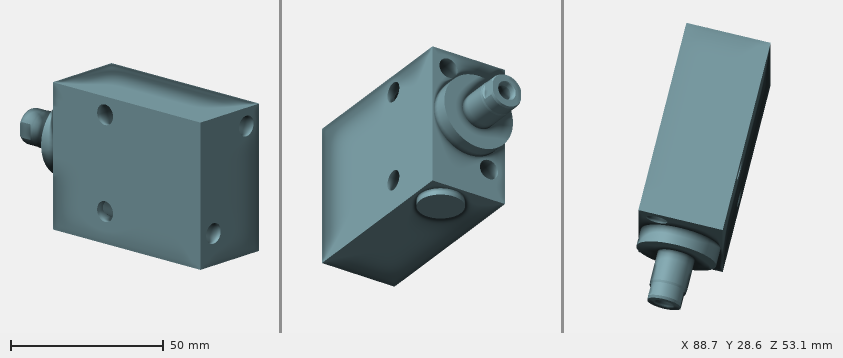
import cadquery as cq

total_length = 88.7
body_front = 22.8
body_width = 28.6
body_height = 50.7
axis_to_top = 23.1
body_bottom = axis_to_top - body_height

flange_front = 16.85
flange_diameter = 27.05

rod_diameter = 12.6
tip_diameter = 12.3
tip_chamfer_length = 0.9
tip_chamfer_depth = 0.35
shoulder_start = 5.4
shoulder_end = 6.2
flats_width = 11.1
flats_length = 4.7

tip_hole_diameter = 5.15
tip_hole_depth = 10.6
tip_hole_mouth_diameter = 6.9
tip_hole_edge_chamfer = 0.3
taper_end = 1.8
drill_point_length = 1.6

mount_hole_diameter = 7.1
mount_hole_spacing = 33.35
upper_hole_z = axis_to_top - 6.3
lower_hole_z = upper_hole_z - mount_hole_spacing
cross_hole_x = 46.1
long_hole_y = 8.0

boss_diameter = 16.0
boss_height = 2.4
boss_x = 32.3
boss_y = 4.8


def revolve_about_x(profile):
    """Turn a closed (x, radius) profile around the X axis."""
    return cq.Workplane("XY").polyline(profile).close().revolve(360, (0, 0, 0), (1, 0, 0))


def make_body():
    return cq.Workplane("XY").box(
        total_length - body_front, body_width, body_height, centered=(False, True, False)
    ).translate((body_front, 0, body_bottom))


def make_flange():
    return (
        cq.Workplane("YZ", origin=(flange_front, 0, 0))
        .circle(flange_diameter / 2)
        .extrude(body_front - flange_front)
    )


def make_rod():
    tip_radius = tip_diameter / 2
    rod = revolve_about_x([
        (0, 0),
        (0, tip_radius - tip_chamfer_depth),
        (tip_chamfer_length, tip_radius),
        (shoulder_start, tip_radius),
        (shoulder_end, rod_diameter / 2),
        (body_front, rod_diameter / 2),
        (body_front, 0),
    ])
    flat_y = flats_width / 2
    ramp = rod_diameter / 2 - flat_y
    flat_cutter = (
        cq.Workplane("XY")
        .polyline([
            (0, flat_y),
            (flats_length, flat_y),
            (flats_length + ramp, flat_y + ramp),
            (0, flat_y + ramp),
        ])
        .close()
        .extrude(rod_diameter / 2, both=True)
    )
    return rod.cut(flat_cutter).cut(flat_cutter.mirror("XZ"))


def make_tip_hole():
    hole_radius = tip_hole_diameter / 2
    mouth_radius = tip_hole_mouth_diameter / 2
    return revolve_about_x([
        (0, 0),
        (0, mouth_radius),
        (tip_hole_edge_chamfer, mouth_radius - tip_hole_edge_chamfer),
        (taper_end, hole_radius),
        (tip_hole_depth, hole_radius),
        (tip_hole_depth + drill_point_length, 0),
    ])


def make_boss():
    return (
        cq.Workplane("XY", origin=(boss_x, boss_y, body_bottom))
        .circle(boss_diameter / 2)
        .extrude(-boss_height)
    )


def make_mounting_holes():
    cross_holes = (
        cq.Workplane("XZ")
        .pushPoints([(cross_hole_x, upper_hole_z), (cross_hole_x, lower_hole_z)])
        .circle(mount_hole_diameter / 2)
        .extrude(body_width, both=True)
    )
    long_holes = (
        cq.Workplane("YZ")
        .pushPoints([(long_hole_y, upper_hole_z), (-long_hole_y, lower_hole_z)])
        .circle(mount_hole_diameter / 2)
        .extrude(total_length)
    )
    return cross_holes.union(long_holes)


result = (
    make_body()
    .union(make_flange())
    .union(make_rod())
    .union(make_boss())
    .cut(make_tip_hole())
    .cut(make_mounting_holes())
)